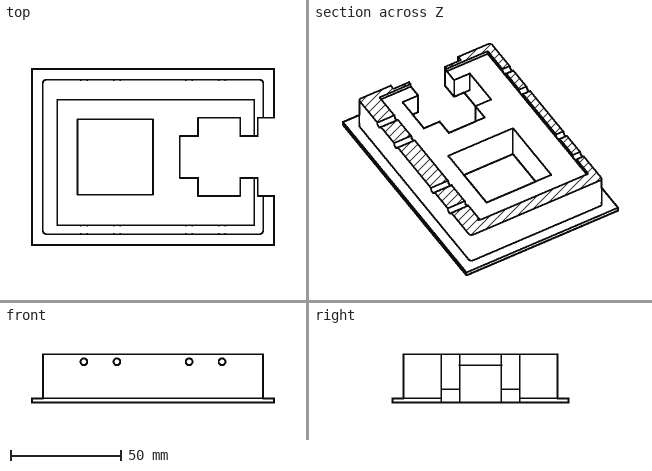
import cadquery as cq

flange_length = 110.0
flange_width = 80.0
flange_thickness = 2.0
total_height = 22.0

body_length = 100.0
body_width = 70.0
body_corner_radius = 1.5

pocket_x_min = -43.3
pocket_x_max = 46.0
pocket_y_min = -31.0
pocket_y_max = 25.8
pocket_depth = 5.0

window_size = 34.1
window_center_x = -17.2

channel_width = 18.9
channel_x_min = 12.2
wide_width = 35.4
chamber_x_min = 20.5
chamber_x_max = 39.5
mouth_x_min = 47.6
hook_underside_z = 6.0

hole_diameter = 3.0
hole_depth_below_top = 3.4
hole_pair_offset = 23.9
hole_pair_spacing = 15.0


def block(x_min, x_max, y_min, y_max, z_min, z_max):
    """Box between the given limits."""
    size = (x_max - x_min, y_max - y_min, z_max - z_min)
    return cq.Workplane("XY").box(*size, centered=False).translate((x_min, y_min, z_min))


def through_cut(x_min, x_max, width):
    """Full-height cutter centred on the X axis."""
    return block(x_min, x_max, -width / 2, width / 2, 0, total_height)


def make_body():
    flange = cq.Workplane("XY").box(
        flange_length, flange_width, flange_thickness, centered=(True, True, False)
    )
    raised = (
        cq.Workplane("XY")
        .box(body_length, body_width, total_height, centered=(True, True, False))
        .edges("|Z")
        .fillet(body_corner_radius)
    )
    return flange.union(raised)


def make_pocket():
    floor_z = total_height - pocket_depth
    return block(pocket_x_min, pocket_x_max, pocket_y_min, pocket_y_max, floor_z, total_height)


def make_window():
    half = window_size / 2
    return through_cut(window_center_x - half, window_center_x + half, window_size)


def make_end_opening():
    channel = through_cut(channel_x_min, flange_length / 2, channel_width)
    chamber = through_cut(chamber_x_min, chamber_x_max, wide_width)
    mouth = through_cut(mouth_x_min, flange_length / 2, wide_width)
    half = wide_width / 2
    undercut = block(chamber_x_max, mouth_x_min, -half, half, 0, hook_underside_z)
    return channel.union(chamber).union(mouth).union(undercut)


def make_cross_holes():
    inner = hole_pair_offset - hole_pair_spacing / 2
    outer = hole_pair_offset + hole_pair_spacing / 2
    hole_z = total_height - hole_depth_below_top
    return (
        cq.Workplane("XZ")
        .pushPoints([(x, hole_z) for x in (-outer, -inner, inner, outer)])
        .circle(hole_diameter / 2)
        .extrude(flange_width / 2, both=True)
    )


result = (
    make_body()
    .cut(make_pocket())
    .cut(make_window())
    .cut(make_end_opening())
    .cut(make_cross_holes())
)